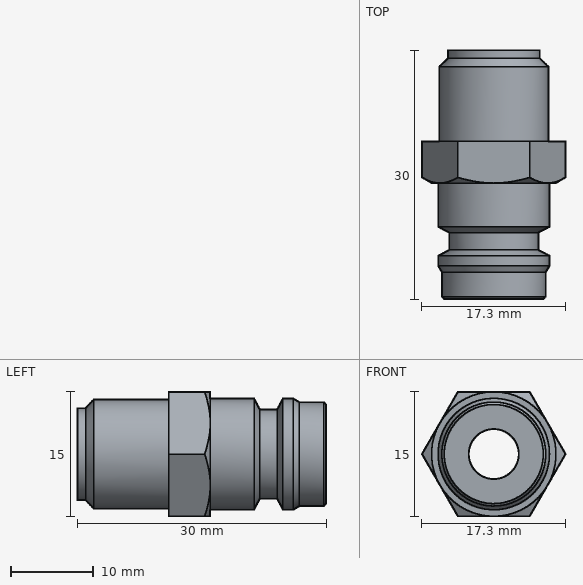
import cadquery as cq
import math

total_length = 30.0
bore_radius = 3.0

nose_radius = 6.27
nose_chamfer = 0.3
collar_radius = 6.72
nose_end = 3.25
collar_start = 4.0
collar_end = 5.22
groove_radius = 5.4
groove_start = 5.9
groove_end = 8.0
body_start = 8.7

hex_start = 13.98
hex_end = 19.0
hex_across_flats = 15.0
hex_across_corners = hex_across_flats / math.cos(math.radians(30))
hex_chamfer_angle = 30.0

shank_radius = 6.6
shank_end = 28.0
tip_radius = 5.55
tip_start = 29.0


def revolve_about_y(points):
    """Revolve a closed (radius, Y) outline around the Y axis."""
    return cq.Workplane("XY").polyline(points).close().revolve(360, (0, 0, 0), (0, 1, 0))


def make_turned_body():
    return revolve_about_y([
        (0, 0),
        (nose_radius - nose_chamfer, 0),
        (nose_radius, nose_chamfer),
        (nose_radius, nose_end),
        (collar_radius, collar_start),
        (collar_radius, collar_end),
        (groove_radius, groove_start),
        (groove_radius, groove_end),
        (collar_radius, body_start),
        (collar_radius, hex_start),
        (shank_radius, hex_start),
        (shank_radius, shank_end),
        (tip_radius, tip_start),
        (tip_radius, total_length),
        (0, total_length),
    ])


def make_hexagon():
    """Hexagonal prism whose front corners are cut back by a cone."""
    prism = (
        cq.Workplane("XZ", origin=(0, hex_end, 0))
        .polygon(6, hex_across_corners)
        .extrude(hex_end - hex_start)
    )
    flat_radius = hex_across_flats / 2
    corner_radius = hex_across_corners / 2
    chamfer_depth = (corner_radius - flat_radius) * math.tan(math.radians(hex_chamfer_angle))
    envelope = revolve_about_y([
        (0, hex_start),
        (flat_radius, hex_start),
        (corner_radius, hex_start + chamfer_depth),
        (corner_radius, hex_end),
        (0, hex_end),
    ])
    return prism.intersect(envelope)


def make_bore():
    return cq.Workplane("XZ").circle(bore_radius).extrude(-total_length)


result = make_turned_body().union(make_hexagon()).cut(make_bore())